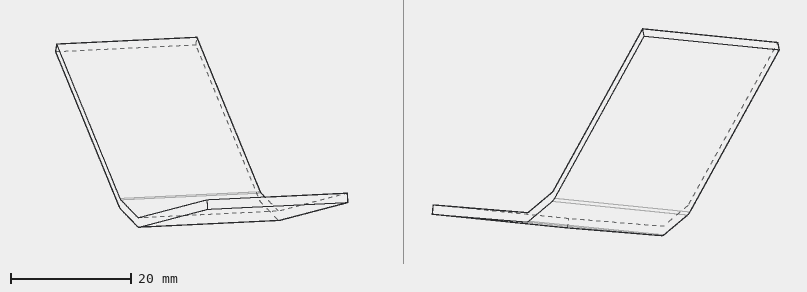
import cadquery as cq
import math

strip_width = 24.245
thickness = 1.6
half_flat = 5.9
half_span = 48.09
leg_rise = 15.133
inner_bend_radius = thickness
outer_bend_radius = inner_bend_radius + thickness
tilt_angle = 1.67

leg_angle = math.atan2(leg_rise, half_span - half_flat)
fold_shift = thickness * math.tan(leg_angle / 2)

lower_fold = (half_flat, 0)
lower_end = (half_span, leg_rise)
upper_end = (
    half_span - thickness * math.sin(leg_angle),
    leg_rise + thickness * math.cos(leg_angle),
)
upper_fold = (half_flat - fold_shift, thickness)


def mirrored(point):
    """Reflect a profile point across the middle of the strip."""
    return (-point[0], point[1])


def folded_strip():
    """Extrude the sharp-cornered profile along Y, centred on the XZ plane."""
    right_side = [lower_fold, lower_end, upper_end, upper_fold]
    left_side = [mirrored(point) for point in reversed(right_side)]
    profile = cq.Workplane("XZ").polyline(right_side + left_side).close()
    return profile.extrude(strip_width / 2, both=True)


def round_folds(strip, fold, radius):
    """Round the fold edge through the given profile point and its mirror image."""
    for x, z in (fold, mirrored(fold)):
        fold_edge = cq.selectors.NearestToPointSelector((x, 0, z))
        strip = strip.edges(fold_edge).fillet(radius)
    return strip


strip = folded_strip()
strip = round_folds(strip, upper_fold, inner_bend_radius)
strip = round_folds(strip, lower_fold, outer_bend_radius)

result = strip.rotate((0, 0, 0), (1, 0, 0), -tilt_angle)